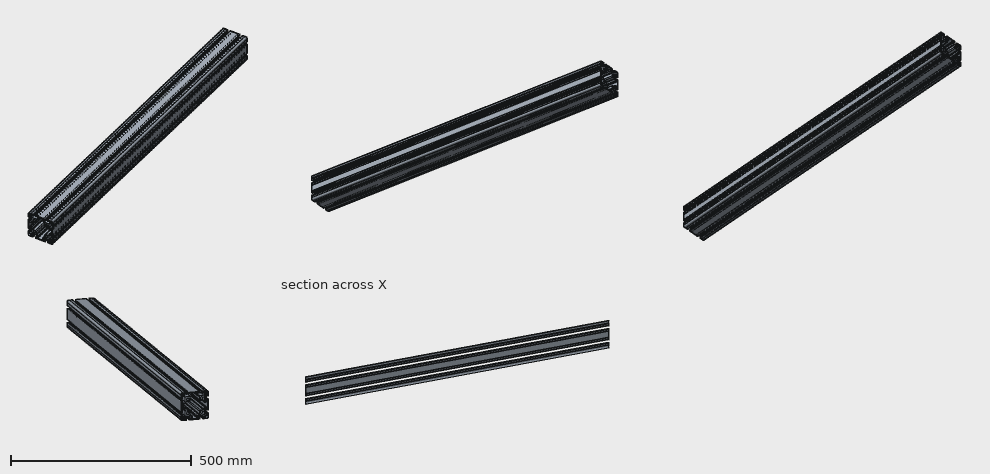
import cadquery as cq

length = 1000.0
side = 80.0
half_side = side / 2
face_count = 4
quarter_turn = 360 / face_count
corner_radius = 4.0

slot_offset = 20.0
mouth_half_width = 4.0
mouth_edge_radius = 1.0
lip_thickness = 5.0
lip_root_thickness = 3.0
lip_bead_width = 2.0
slot_half_width = 10.0
slot_depth = 12.0
slot_floor_chamfer = 3.0

skin_thickness = 3.0
skin_half_span = 8.5
neck_half_width = 7.0
neck_top = 33.0
neck_bottom = 29.0
boss_shoulder = 25.0
boss_half_width = 6.5
boss_chamfer = 3.0
corner_skin_thickness = 1.5
corner_hollow_side = 6.5
corner_hollow_radius = 2.0
core_hole_diameter = 7.0


def along_bar(profile):
    """Extrude a closed XZ profile over the full length of the bar."""
    return profile.extrude(length / 2, both=True)


def mirrored_outline(half_outline):
    """Complete an outline that is symmetric about X = 0 from its left half."""
    return half_outline + [(-x, z) for x, z in reversed(half_outline)]


def bar_blank():
    """Solid square bar with rounded long edges."""
    blank = cq.Workplane("XY").box(side, length, side)
    return blank.edges("|Y").fillet(corner_radius)


def slot_cutter():
    """T-slot opening through the top face, centred on X = 0."""
    lip_z = half_side - lip_thickness
    root_z = half_side - lip_root_thickness
    floor_z = half_side - slot_depth
    bead_x = mouth_half_width + lip_bead_width
    round_x = mouth_half_width + mouth_edge_radius
    left_side = [
        (-mouth_half_width, lip_z),
        (-bead_x, lip_z),
        (-bead_x, root_z),
        (-slot_half_width, root_z),
        (-slot_half_width, floor_z + slot_floor_chamfer),
        (-slot_half_width + slot_floor_chamfer, floor_z),
    ]
    outline = mirrored_outline(left_side)
    profile = (
        cq.Workplane("XZ")
        .moveTo(*outline[0])
        .polyline(outline[1:], includeCurrent=True)
        .lineTo(mouth_half_width, half_side - mouth_edge_radius)
        .radiusArc((round_x, half_side), mouth_edge_radius)
        .lineTo(-round_x, half_side)
        .radiusArc((-mouth_half_width, half_side - mouth_edge_radius), mouth_edge_radius)
        .close()
    )
    return along_bar(profile)


def central_hollow():
    """Star-shaped hollow: four equal arms reach the outer skin between the slots."""
    boss_inner = slot_offset - boss_half_width
    left_of_top_arm = [
        (-boss_inner, boss_inner + boss_chamfer),
        (-boss_inner, boss_shoulder),
        (-neck_half_width, neck_bottom),
        (-neck_half_width, neck_top),
        (-skin_half_span, half_side - skin_thickness),
    ]
    arm = mirrored_outline(left_of_top_arm)
    outline = []
    for _ in range(face_count):
        outline += arm
        arm = [(z, -x) for x, z in arm]
    return along_bar(cq.Workplane("XZ").polyline(outline).close())


def corner_hollow():
    """Small hollow inside the top right corner."""
    centre = half_side - corner_skin_thickness - corner_hollow_side / 2
    profile = cq.Workplane("XZ").center(centre, centre)
    profile = profile.rect(corner_hollow_side, corner_hollow_side)
    return along_bar(profile).edges("|Y and >X and >Z").fillet(corner_hollow_radius)


def core_hole():
    """Round hole through the top right boss."""
    profile = cq.Workplane("XZ").center(slot_offset, slot_offset).circle(core_hole_diameter / 2)
    return along_bar(profile)


result = bar_blank().cut(central_hollow())
for quarter in range(face_count):
    turn = quarter_turn * quarter
    for cutter in (
        slot_cutter().translate((-slot_offset, 0, 0)),
        slot_cutter().translate((slot_offset, 0, 0)),
        corner_hollow(),
        core_hole(),
    ):
        result = result.cut(cutter.rotate((0, 0, 0), (0, 1, 0), turn))